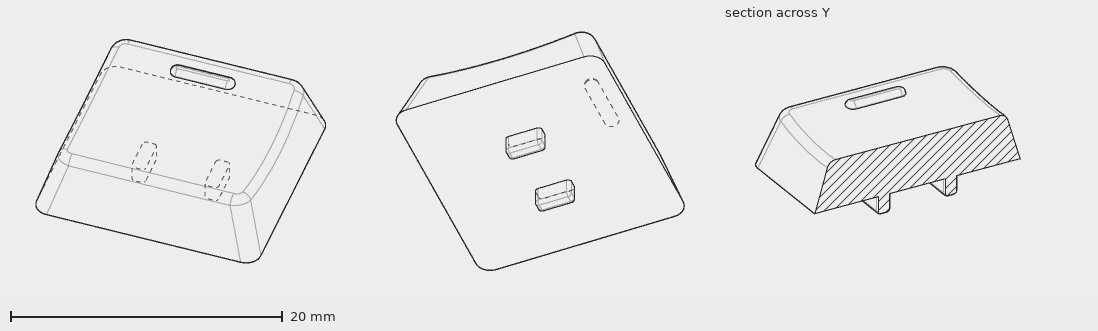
import cadquery as cq
import math

base_x = 17.5
base_y = 16.5
wall_slope = 0.3
corner_radius = 1.22
rim_radius = 0.7

dish_floor = 4.02
dish_radius = 26.95
blank_height = 6.12

bar_length = 5.0
bar_width = 1.08
bar_y = 4.9
bar_top = 4.86
bar_top_radius = 0.42

stem_spacing = 5.7
stem_x = 1.08
stem_y = 2.85
stem_drop = 1.5
stem_radius = 0.28


def dish_cutter():
    """Cylinder along X whose lowest line is the dish floor."""
    return (
        cq.Workplane("YZ")
        .center(0, dish_floor + dish_radius)
        .circle(dish_radius)
        .extrude(base_x, both=True)
    )


def make_body():
    """Tapered block with rounded corners, dished top and rounded rim."""
    taper_angle = math.degrees(math.atan(wall_slope))
    block = cq.Workplane("XY").rect(base_x, base_y).extrude(blank_height, taper=taper_angle)
    slanted_edges = "not(#Z or |X or |Y)"
    rounded = block.edges(slanted_edges).fillet(corner_radius)
    dished = rounded.cut(dish_cutter())
    dish_face = dished.faces(cq.selectors.NearestToPointSelector((0, 0, dish_floor)))
    return dish_face.edges().fillet(rim_radius)


def make_bar():
    """Homing bar with rounded ends and top, rooted inside the body."""
    root = dish_floor / 2
    return (
        cq.Workplane("XY", origin=(0, bar_y, root))
        .slot2D(bar_length, bar_width)
        .extrude(bar_top - root)
        .faces(">Z")
        .edges()
        .fillet(bar_top_radius)
    )


def make_stem(x):
    """Stem hanging below the body, with rounded corners and tip."""
    return (
        cq.Workplane("XY", origin=(x, 0, 0))
        .rect(stem_x, stem_y)
        .extrude(-stem_drop)
        .edges("|Z")
        .fillet(stem_radius)
        .faces("<Z")
        .edges()
        .fillet(stem_radius)
    )


result = make_body().union(make_bar())
for side in (-1, 1):
    result = result.union(make_stem(side * stem_spacing / 2))